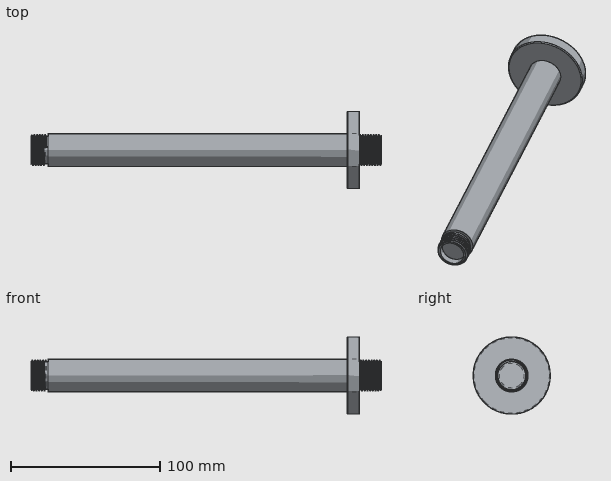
import cadquery as cq

TOTAL_LENGTH = 235.0
FREE_THREAD_LENGTH = 11.5
WALL_THREAD_LENGTH = 14.8
TUBE_RADIUS = 11.0
TUBE_END = TOTAL_LENGTH - WALL_THREAD_LENGTH
TUBE_LENGTH = TUBE_END - FREE_THREAD_LENGTH

THREAD_RADIUS = 10.45
THREAD_DEPTH = 1.2
PITCH = 1.8
ROOT_RADIUS = THREAD_RADIUS - THREAD_DEPTH
RIDGE_BASE = 0.75 * PITCH
RIDGE_CREST = 0.15 * PITCH
RIDGE_EMBED = 0.2
TIP_CHAMFER = 1.2
NECK_LENGTH = 1.0

BORE_RADIUS = 8.2
BORE_DEPTH = 4.7

FLANGE_RADIUS = 25.97
FLANGE_THICKNESS = 8.5
FLANGE_CHAMFER = 0.7


def cylinder(start, length, radius):
    """Round bar along +X from X = start."""
    return cq.Workplane("YZ", origin=(start, 0, 0)).circle(radius).extrude(length)


def thread_ridge(start, length):
    """Helical ridge along +X, flat at both ends, whose root is sunk into the core."""
    root = ROOT_RADIUS - RIDGE_EMBED
    embedded_base = RIDGE_BASE + RIDGE_EMBED / THREAD_DEPTH * (RIDGE_BASE - RIDGE_CREST)
    corners = [
        (root, -embedded_base / 2),
        (THREAD_RADIUS, -RIDGE_CREST / 2),
        (THREAD_RADIUS, RIDGE_CREST / 2),
        (root, embedded_base / 2),
    ]
    helices = [
        cq.Wire.makeHelix(PITCH, length, radius).translate(cq.Vector(0, 0, offset))
        for radius, offset in corners
    ]
    neighbours = helices[1:] + helices[:1]
    flanks = [
        cq.Face.makeRuledSurface(helix.Edges()[0], neighbour.Edges()[0])
        for helix, neighbour in zip(helices, neighbours)
    ]
    ends = [
        cq.Face.makeFromWires(cq.Wire.makePolygon([place(helix) for helix in helices], close=True))
        for place in (cq.Wire.startPoint, cq.Wire.endPoint)
    ]
    ridge = cq.Solid.makeSolid(cq.Shell.makeShell(flanks + ends))
    return cq.Workplane(obj=ridge).rotate((0, 0, 0), (0, 1, 0), 90).translate((start, 0, 0))


def threaded_end(start, length, ridge_start, ridge_length, tip_face):
    """Core with a ridge that is trimmed to the end faces and to a chamfer at the tip."""
    core = cylinder(start, length, ROOT_RADIUS)
    envelope = cylinder(start, length, THREAD_RADIUS + RIDGE_EMBED).faces(tip_face).chamfer(TIP_CHAMFER)
    return core.union(thread_ridge(ridge_start, ridge_length).intersect(envelope))


def make_arm():
    """Solid tube with a threaded spigot at each end and a blind bore in the free end."""
    free_ridge_length = FREE_THREAD_LENGTH - NECK_LENGTH - RIDGE_BASE / 2 + PITCH
    free_end = threaded_end(0, FREE_THREAD_LENGTH, -PITCH, free_ridge_length, "<X")
    wall_ridge_length = WALL_THREAD_LENGTH + 2 * PITCH
    wall_end = threaded_end(TUBE_END, WALL_THREAD_LENGTH, TUBE_END - PITCH, wall_ridge_length, ">X")
    tube = cylinder(FREE_THREAD_LENGTH, TUBE_LENGTH, TUBE_RADIUS)
    bore = cylinder(0, BORE_DEPTH, BORE_RADIUS)
    return tube.union(free_end).union(wall_end).cut(bore)


def make_flange():
    """Disc with a chamfered front rim and a hole that fits the tube."""
    start = TUBE_END - FLANGE_THICKNESS
    disc = cylinder(start, FLANGE_THICKNESS, FLANGE_RADIUS).faces("<X").chamfer(FLANGE_CHAMFER)
    return disc.cut(cylinder(start, FLANGE_THICKNESS, TUBE_RADIUS))


arm = make_arm()
flange = make_flange()
result = cq.Compound.makeCompound([*arm.solids().vals(), *flange.solids().vals()])